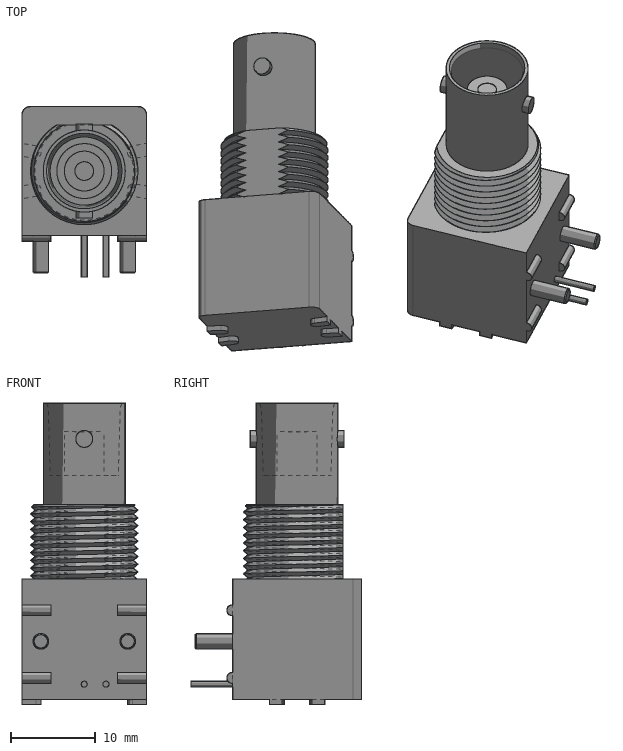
import cadquery as cq

total_height = 35.5

body_width = 14.7
body_depth = 15.2
body_height = 14.2
body_corner_radius = 1.0
foot_height = 0.6
body_top = foot_height + body_height
body_side = body_width / 2
body_front = -body_depth / 2

thread_length = 8.75
thread_turns = 9.6
thread_radius = 6.32
thread_depth = 0.55
thread_crest_rise = 0.8
thread_end_radius = 5.93
thread_flat_distance = 5.43
thread_rod_radius = 6.67
thread_pitch = thread_length / thread_turns
thread_root_radius = thread_radius - thread_depth
thread_top = body_top + thread_length

barrel_radius = 4.83
lug_radius = 1.0
lug_span = 11.08
lug_z = 31.28

mouth_radius = 4.45
lead_in_radius = 4.22
lead_in_depth = 0.6
bore_floor_radius = 4.0
bore_depth = 8.52

insulator_base_radius = 3.23
insulator_radius = 2.35
insulator_depth = 3.37
contact_radius = 1.1
joint_step = 0.05

post_radius = 0.92
post_length = 4.4
post_chamfer = 0.15
post_x = 5.1
post_z = 7.45
bar_length = 3.4
bar_radius = 0.65
bar_straight = 0.05
bar_heights = (3.15, 11.1)
pin_radius = 0.35
pin_length = 4.9
pin_spacing = 2.55
pin_z = 2.4

foot_radius = 0.75
foot_end_x = 5.82
foot_end_y = 2.25
foot_angle = 10.0
foot_overrun = 2.85


def front_cylinder(x, z, radius, length):
    """Cylinder standing out of the front face along -Y."""
    return (
        cq.Workplane("XZ", origin=(x, body_front, z))
        .circle(radius)
        .extrude(length)
    )


def make_body():
    return (
        cq.Workplane("XY", origin=(0, 0, foot_height))
        .rect(body_width, body_depth)
        .extrude(body_height)
        .edges("|Z and >Y")
        .fillet(body_corner_radius)
    )


def make_foot():
    """Foot in the +X +Y quadrant, trimmed flush with the housing side."""
    slot = (
        cq.Workplane("XY")
        .moveTo(0, foot_radius)
        .threePointArc((-foot_radius, 0), (0, -foot_radius))
        .lineTo(foot_overrun, -foot_radius)
        .lineTo(foot_overrun, foot_radius)
        .close()
        .extrude(foot_height)
        .rotate((0, 0, 0), (0, 0, 1), foot_angle)
        .translate((foot_end_x, foot_end_y, 0))
    )
    trim = cq.Workplane("XY").rect(body_width, body_depth).extrude(foot_height)
    return slot.intersect(trim)


def thread_helix(radius, rise):
    """Helix that starts below the bushing and runs out above it."""
    helix = cq.Wire.makeHelix(thread_pitch, thread_length + 4 * thread_pitch, radius)
    return helix.translate(cq.Vector(0, 0, body_top - 2 * thread_pitch + rise)).Edges()[0]


def make_thread_flanks():
    """Two helical faces that meet along the crest and are half a pitch high each."""
    lower_root = thread_helix(thread_root_radius, thread_crest_rise - thread_pitch / 2)
    crest = thread_helix(thread_radius, thread_crest_rise)
    upper_root = thread_helix(thread_root_radius, thread_crest_rise + thread_pitch / 2)
    lower_flank = cq.Face.makeRuledSurface(lower_root, crest)
    upper_flank = cq.Face.makeRuledSurface(crest, upper_root)
    return cq.Workplane(cq.Shell.makeShell([lower_flank, upper_flank]))


def make_thread():
    """Right-hand V thread: the inner of the two solids that the flanks split a plain rod into."""
    rod = (
        cq.Workplane("XY", origin=(0, 0, body_top))
        .circle(thread_rod_radius)
        .extrude(thread_length)
    )
    pieces = rod.split(make_thread_flanks()).solids().vals()
    return cq.Workplane(max(pieces, key=lambda piece: piece.Volume()))


def make_bushing():
    """Thread with a 45 degree chamfer at its top and a flat on its +Y side."""
    chamfer_width = thread_rod_radius - thread_end_radius
    chamfer = (
        cq.Workplane("XZ")
        .moveTo(thread_end_radius, thread_top)
        .lineTo(thread_rod_radius, thread_top)
        .lineTo(thread_rod_radius, thread_top - chamfer_width)
        .close()
        .revolve(360, (0, 0, 0), (0, 1, 0))
    )
    flat = (
        cq.Workplane("XY", origin=(0, thread_flat_distance, body_top))
        .rect(2 * thread_radius, thread_radius, centered=(True, False))
        .extrude(thread_length)
    )
    return make_thread().cut(chamfer).cut(flat)


def make_barrel():
    barrel = (
        cq.Workplane("XY", origin=(0, 0, body_top))
        .circle(barrel_radius)
        .extrude(total_height - body_top)
    )
    lugs = (
        cq.Workplane("XZ", origin=(0, 0, lug_z))
        .circle(lug_radius)
        .extrude(lug_span / 2, both=True)
    )
    return barrel.union(lugs)


def make_bore():
    """Space inside the barrel around the insulator, as one revolved profile."""
    insulator_top = total_height - insulator_depth
    bore_floor = total_height - bore_depth
    return (
        cq.Workplane("XZ")
        .moveTo(0, insulator_top - joint_step)
        .lineTo(contact_radius, insulator_top - joint_step)
        .lineTo(contact_radius, insulator_top)
        .lineTo(insulator_radius, insulator_top)
        .lineTo(insulator_radius, bore_floor - joint_step)
        .lineTo(insulator_base_radius, bore_floor - joint_step)
        .lineTo(insulator_base_radius, bore_floor)
        .lineTo(bore_floor_radius, bore_floor)
        .lineTo(lead_in_radius, total_height - lead_in_depth)
        .lineTo(mouth_radius, total_height)
        .lineTo(0, total_height)
        .close()
        .revolve(360, (0, 0, 0), (0, 1, 0))
    )


def make_post(x):
    return front_cylinder(x, post_z, post_radius, post_length).faces("<Y").chamfer(post_chamfer)


def make_bar(start_x, z):
    """Half-round bar along X, lying on the front face."""
    arc_y = body_front - bar_straight
    return (
        cq.Workplane("YZ", origin=(start_x, 0, z))
        .moveTo(body_front, bar_radius)
        .lineTo(arc_y, bar_radius)
        .threePointArc((arc_y - bar_radius, 0), (arc_y, -bar_radius))
        .lineTo(body_front, -bar_radius)
        .close()
        .extrude(bar_length)
    )


result = make_body().union(make_bushing()).union(make_barrel()).cut(make_bore())

foot = make_foot()
opposite_foot = foot.mirror("YZ")
for corner_foot in (foot, opposite_foot, foot.mirror("XZ"), opposite_foot.mirror("XZ")):
    result = result.union(corner_foot)

for bar_z in bar_heights:
    for bar_x in (-body_side, body_side - bar_length):
        result = result.union(make_bar(bar_x, bar_z))

for x in (-post_x, post_x):
    result = result.union(make_post(x))

for x in (0, pin_spacing):
    result = result.union(front_cylinder(x, pin_z, pin_radius, pin_length))